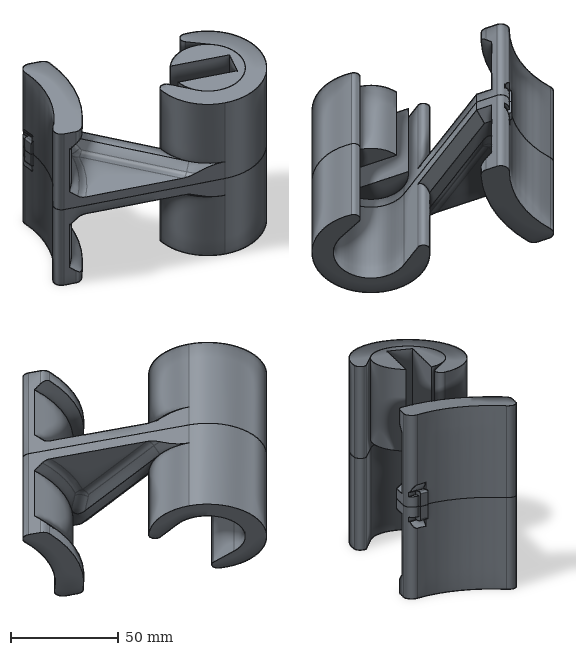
import cadquery as cq
import math

height = 90.0
half_height = height / 2
half_width = 27.5

bore_diameter = 35.0
bore_radius = bore_diameter / 2
wall = half_width - bore_radius
tip_fillet = 3.0
left_tip_angle = 153.5

slot_width = 12.5
slot_top = 12.5

step = wall / 2
arm_half_height = 2 * step
web_half_height = step
web_fillet = 5.0
arm_corner_y = -68.1

saddle_y = -127.3
saddle_radius = 50.0
plate_thickness = 13.2
plate_radius = saddle_radius + plate_thickness
recess_radius = plate_radius - step
plate_fillet = 4.0
plate_root_y = -76.7

clip_angle = 24
clip_left = -0.8
clip_right = 4.0
clip_half_height = 7.2
clip_protrusion = 1.1
clip_fillet = 1.0
pocket_depth = 2.2
pocket_inner_z = 5.1
ramp_depth = 1.7
ramp_end_z = 10.6
ramp_right = 3.5
pocket_reach = 8.8

margin = 13.2


def unit(x, y):
    length = math.hypot(x, y)
    return x / length, y / length


def hook_tip(angle, turn):
    """Flank end, fillet middle and fillet end of a tip whose flank leaves the bore at the angle."""
    nx, ny = math.cos(angle), math.sin(angle)
    dx, dy = -turn * ny, turn * nx
    offset = bore_radius + tip_fillet
    reach = math.sqrt((half_width - tip_fillet) ** 2 - offset**2)
    cx, cy = nx * offset + dx * reach, ny * offset + dy * reach
    ox, oy = unit(cx, cy)
    mx, my = unit(ox - nx, oy - ny)
    flank_end = (cx - tip_fillet * nx, cy - tip_fillet * ny)
    middle = (cx + tip_fillet * mx, cy + tip_fillet * my)
    fillet_end = (half_width * ox, half_width * oy)
    return flank_end, middle, fillet_end


def on_circle(radius, angle):
    return radius * math.cos(angle), radius * math.sin(angle)


def saddle_arc_y(radius, x):
    return saddle_y + math.sqrt(radius**2 - x**2)


corner_distance = math.hypot(half_width, arm_corner_y)
arm_angle = math.atan2(arm_corner_y, -half_width) + math.acos(bore_radius / corner_distance)

clip_turn = math.radians(clip_angle)
clip_along = cq.Vector(math.cos(clip_turn), math.sin(clip_turn), 0)
clip_inward = cq.Vector(-math.sin(clip_turn), math.cos(clip_turn), 0)
clip_origin = cq.Vector(0, saddle_y, 0) + clip_inward * saddle_radius
clip_plane = cq.Plane(clip_origin, xDir=clip_along, normal=(0, 0, 1))


def make_hook():
    left_angle = math.radians(left_tip_angle)
    left_flank, left_middle, left_end = hook_tip(left_angle, 1)
    right_flank, right_middle, right_end = hook_tip(arm_angle, -1)
    return (
        cq.Workplane("XY", origin=(0, 0, -half_height))
        .moveTo(*on_circle(bore_radius, left_angle))
        .lineTo(*left_flank)
        .threePointArc(left_middle, left_end)
        .threePointArc((0, half_width), (half_width, 0))
        .threePointArc(on_circle(half_width, arm_angle), right_end)
        .threePointArc(right_middle, right_flank)
        .lineTo(*on_circle(bore_radius, arm_angle))
        .threePointArc((0, bore_radius), on_circle(bore_radius, left_angle))
        .close()
        .extrude(2 * half_height)
    )


def make_web_pocket():
    """Sloped pocket above the web, open on the right side."""
    tangent_x, tangent_y = on_circle(half_width, arm_angle)
    along_x, along_y = math.sin(arm_angle), -math.cos(arm_angle)
    rel_y = tangent_y - saddle_y
    projection = tangent_x * along_x + rel_y * along_y
    excess = tangent_x**2 + rel_y**2 - recess_radius**2
    reach = -projection - math.sqrt(projection**2 - excess)
    valley = (tangent_x + reach * along_x, tangent_y + reach * along_y)
    right = half_width + margin
    pocket = (
        cq.Workplane("XY", origin=(0, 0, arm_half_height))
        .moveTo(*valley)
        .threePointArc((0, saddle_y + recess_radius), (right, saddle_arc_y(recess_radius, right)))
        .lineTo(right, 0)
        .lineTo(half_width, 0)
        .threePointArc(on_circle(half_width, arm_angle / 2), (tangent_x, tangent_y))
        .close()
        .extrude(web_half_height - arm_half_height, taper=45)
    )
    middle_z = (arm_half_height + web_half_height) / 2
    arm_foot = (half_width / 3, (tangent_y + saddle_y + recess_radius) / 2, web_half_height)
    plate_foot = (half_width / 2, saddle_y + recess_radius + step, web_half_height)
    valley_middle = (valley[0] + step, valley[1] + step, middle_z)
    rounded = [
        pocket.edges(cq.selectors.NearestToPointSelector(point)).val()
        for point in (valley_middle, arm_foot, plate_foot)
    ]
    return pocket.newObject(rounded).fillet(web_fillet)


def make_arm():
    arm = (
        cq.Workplane("XY", origin=(0, 0, -arm_half_height))
        .moveTo(-half_width, arm_corner_y)
        .lineTo(*on_circle(bore_radius, arm_angle))
        .lineTo(half_width, 0)
        .lineTo(half_width, plate_root_y)
        .lineTo(-half_width, plate_root_y)
        .close()
        .extrude(2 * arm_half_height)
    )
    flank_x, flank_y = on_circle(bore_radius, arm_angle)
    flank_middle = ((flank_x - half_width) / 2, (flank_y + arm_corner_y) / 2)
    side_middle = (-half_width, (arm_corner_y + plate_root_y) / 2)
    for z in (-arm_half_height, arm_half_height):
        flank_edge = cq.selectors.NearestToPointSelector((*flank_middle, z))
        side_edge = cq.selectors.NearestToPointSelector((*side_middle, z))
        arm = arm.edges(flank_edge + side_edge).chamfer(arm_half_height - web_half_height)
    pocket = make_web_pocket()
    return arm.cut(pocket).cut(pocket.mirror("XY"))


def make_plate():
    inner_y = saddle_arc_y(saddle_radius, half_width)
    outer_y = saddle_arc_y(plate_radius, half_width)
    plate = (
        cq.Workplane("XY", origin=(0, 0, -half_height))
        .moveTo(-half_width, inner_y)
        .threePointArc((0, saddle_y + saddle_radius), (half_width, inner_y))
        .lineTo(half_width, outer_y)
        .threePointArc((0, saddle_y + plate_radius), (-half_width, outer_y))
        .close()
        .extrude(2 * half_height)
        .edges("|Z")
        .fillet(plate_fillet)
    )
    lip_z = half_height - step
    floor_z = lip_z - step
    recess = (
        cq.Workplane("XZ", origin=(0, saddle_y, 0))
        .moveTo(recess_radius, -floor_z)
        .lineTo(recess_radius, floor_z)
        .lineTo(plate_radius, lip_z)
        .lineTo(plate_radius + margin, lip_z)
        .lineTo(plate_radius + margin, -lip_z)
        .lineTo(plate_radius, -lip_z)
        .close()
        .revolve(360, (0, 0), (0, 1))
    )
    return plate.cut(recess)


def clip_box(left, right, depth, bottom, top):
    """Box in the clip's own directions, from its outer face down to the depth."""
    length = right - left
    return (
        cq.Workplane(clip_plane)
        .workplane(offset=bottom)
        .center(left, -clip_protrusion)
        .rect(length, clip_protrusion + depth, centered=False)
        .extrude(top - bottom)
    )


def make_clip_seat():
    """Seat of the upper clip half, with the side pocket and the ramp beside it."""
    seat = clip_box(clip_left, clip_right, pocket_depth, 0, clip_half_height)
    side = clip_box(-pocket_reach, clip_left, pocket_depth, pocket_inner_z, clip_half_height)
    slope = (ramp_end_z - clip_half_height) / ramp_depth
    ramp_top = ramp_end_z + slope * clip_protrusion
    ramp = (
        cq.Workplane(cq.Plane(clip_origin, xDir=clip_inward, normal=clip_along))
        .workplane(offset=-pocket_reach)
        .moveTo(ramp_depth, clip_half_height)
        .lineTo(-clip_protrusion, ramp_top)
        .lineTo(-clip_protrusion, clip_half_height)
        .close()
        .extrude(pocket_reach + ramp_right)
    )
    return seat.union(side).union(ramp)


def make_clip_half():
    half = clip_box(clip_left, clip_right, pocket_depth, 0, clip_half_height)
    outer_edge = cq.selectors.NearestToPointSelector(
        (clip_origin - clip_inward * clip_protrusion + cq.Vector(0, 0, clip_half_height)).toTuple()
    )
    return half.edges(outer_edge).fillet(clip_fillet)


def make_plug():
    plug = (
        cq.Workplane("XY", origin=(0, 0, step))
        .circle(bore_radius)
        .extrude(half_height - step)
    )
    slot = (
        cq.Workplane("XY", origin=(-slot_width / 2, slot_top - 2 * half_width, step))
        .rect(slot_width, 2 * half_width, centered=False)
        .extrude(half_height - step)
    )
    return plug.cut(slot)


def make_holder_half():
    """Upper half of the holder, from the parting plane up."""
    seat = make_clip_seat()
    upper_space = (
        cq.Workplane("XY", origin=(0, saddle_y / 2, 0))
        .rect(2 * half_width + margin, -2 * saddle_y)
        .extrude(half_height)
    )
    holder = make_hook().union(make_arm()).union(make_plate())
    return holder.intersect(upper_space).cut(seat)


upper_holder = make_holder_half()
lower_holder = upper_holder.mirror("XY")
plug = make_plug()
upper_clip = make_clip_half()
lower_clip = upper_clip.mirror("XY")

result = cq.Compound.makeCompound(
    [upper_holder.val(), lower_holder.val(), plug.val(), upper_clip.val(), lower_clip.val()]
)